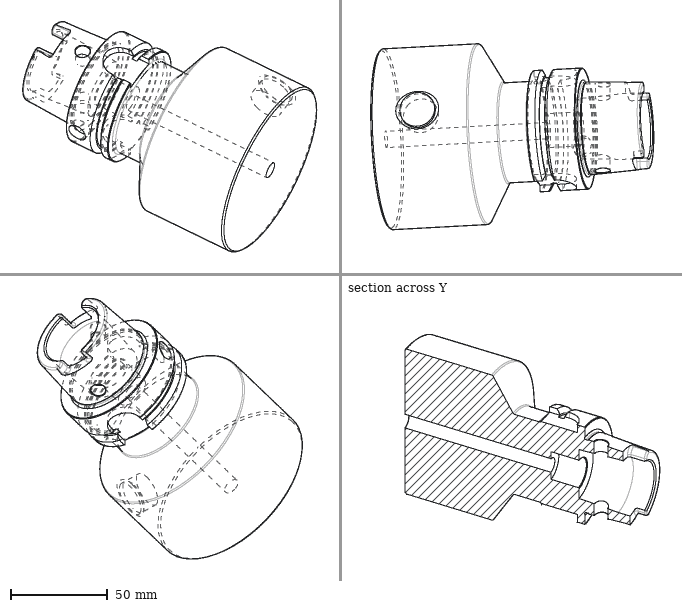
import cadquery as cq
import math


shank_end_radius = 22.6
shank_base_radius = 24.1
shank_end_fillet = 1.0
shank_length = 30.0
relief_radius = 23.7
relief_runout = 0.5

flange_start = 32.0
flange_end = 57.6
flange_radius = 31.5
flange_undercut_radius = 25.2
flange_undercut_depth = 0.4
flange_edge = 0.4
gripper_center = 50.0
gripper_floor_width = 2.9
gripper_radius = 27.5
gripper_flank_angle = 30
gripper_wall_height = 1.0

neck_root_fillet = 1.2
neck_radius = 26.0
neck_end = 73.8
head_radius = 47.0
head_cone_angle = 60
head_fillet = 1.0
head_edge_chamfer = 1.0
overall_length = 136.9

mouth_radius = 17.0
mouth_chamfer = 0.8
mouth_depth = 12.9
bore_floor_radius = 15.6
bore_floor = 35.6
thread_radius = 8.8
thread_chamfer = 0.4
thread_depth = 16.4
through_radius = 4.2

slot_width = 12.5
slot_lip_radius = 3.0
slot_lip_height = 20.5
slot_corner_radius = 1.4
upper_slot_depth = 10.1
lower_slot_depth = 6.0

keyway_width = 18.1
keyway_start = 36.8
keyway_floor = 26.5

cross_hole_radius = 3.8
cross_hole_x = 23.0
cross_hole_chamfer = 0.3
chip_hole_radius = 5.0
chip_hole_x = 38.9
chip_hole_depth = 4.5

plug_radius = 9.2
plug_x = 112.3
plug_top = 47.03
plug_depth = 11.0
plug_rim_radius = 11.4


def circle_at(x):
    """Selector for the full circles about the X axis at one X."""
    reach = 0.07
    return cq.selectors.BoxSelector((x - reach, -reach, -reach), (x + reach, reach, reach))


def outer_body():
    wall_top = gripper_radius + gripper_wall_height
    flank = (flange_radius - wall_top) * math.tan(math.radians(gripper_flank_angle))
    floor_start = gripper_center - gripper_floor_width / 2
    floor_end = gripper_center + gripper_floor_width / 2
    head_start = neck_end + (head_radius - neck_radius) / math.tan(math.radians(head_cone_angle))
    undercut_start = flange_start - flange_undercut_depth
    undercut_deepest = (flange_start + flange_undercut_depth, (relief_radius + flange_undercut_radius) / 2)
    body = (
        cq.Workplane("XY")
        .moveTo(0, 0)
        .lineTo(0, shank_end_radius)
        .lineTo(shank_length, shank_base_radius)
        .lineTo(shank_length + relief_runout, relief_radius)
        .lineTo(undercut_start, relief_radius)
        .threePointArc(undercut_deepest, (flange_start, flange_undercut_radius))
        .lineTo(flange_start, flange_radius - flange_edge)
        .lineTo(flange_start + flange_edge, flange_radius)
        .lineTo(floor_start - flank, flange_radius)
        .lineTo(floor_start, wall_top)
        .lineTo(floor_start, gripper_radius)
        .lineTo(floor_end, gripper_radius)
        .lineTo(floor_end, wall_top)
        .lineTo(floor_end + flank, flange_radius)
        .lineTo(flange_end - flange_edge, flange_radius)
        .lineTo(flange_end, flange_radius - flange_edge)
        .lineTo(flange_end, neck_radius)
        .lineTo(neck_end, neck_radius)
        .lineTo(head_start, head_radius)
        .lineTo(overall_length - head_edge_chamfer, head_radius)
        .lineTo(overall_length, head_radius - head_edge_chamfer)
        .lineTo(overall_length, 0)
        .close()
        .revolve(360, (0, 0, 0), (1, 0, 0))
    )
    body = body.edges(circle_at(neck_end)).fillet(head_fillet)
    body = body.edges(circle_at(head_start)).fillet(head_fillet)
    neck_root = cq.selectors.RadiusNthSelector(0)
    return body.edges(circle_at(flange_end)).edges(neck_root).fillet(neck_root_fillet)


def axial_bore():
    outline = [
        (0, 0),
        (0, mouth_radius + mouth_chamfer),
        (mouth_chamfer, mouth_radius),
        (mouth_depth, mouth_radius),
        (bore_floor, bore_floor_radius),
        (bore_floor, thread_radius + thread_chamfer),
        (bore_floor + thread_chamfer, thread_radius),
        (bore_floor + thread_depth, thread_radius),
        (bore_floor + thread_depth, through_radius),
        (overall_length, through_radius),
        (overall_length, 0),
    ]
    return cq.Workplane("XY").polyline(outline).close().revolve(360, (0, 0, 0), (1, 0, 0))


def drive_slot(depth):
    """Cutter for a slot on the +Z side whose walls round outward into a flat lip."""
    wall = slot_width / 2
    lip_start = wall + slot_lip_radius
    arc_start_z = slot_lip_height - slot_lip_radius
    lip_mid_y = lip_start - slot_lip_radius * math.cos(math.pi / 4)
    lip_mid_z = arc_start_z + slot_lip_radius * math.sin(math.pi / 4)
    cutter = (
        cq.Workplane("YZ")
        .moveTo(-wall, 0)
        .lineTo(-wall, arc_start_z)
        .threePointArc((-lip_mid_y, lip_mid_z), (-lip_start, slot_lip_height))
        .lineTo(-flange_radius, slot_lip_height)
        .lineTo(-flange_radius, flange_radius)
        .lineTo(flange_radius, flange_radius)
        .lineTo(flange_radius, slot_lip_height)
        .lineTo(lip_start, slot_lip_height)
        .threePointArc((lip_mid_y, lip_mid_z), (wall, arc_start_z))
        .lineTo(wall, 0)
        .close()
        .extrude(depth)
    )
    return cutter.faces(">X").edges("(not <Z) and (not >Z) and (not <Y) and (not >Y)").fillet(slot_corner_radius)


def keyway():
    """Cutter for a flat-floored keyway on the +Z side, rounded at its shank end."""
    radius = keyway_width / 2
    return (
        cq.Workplane("XY", origin=(0, 0, keyway_floor))
        .moveTo(flange_end, -radius)
        .lineTo(keyway_start + radius, -radius)
        .threePointArc((keyway_start, 0), (keyway_start + radius, radius))
        .lineTo(flange_end, radius)
        .close()
        .extrude(flange_radius - keyway_floor)
    )


def cross_hole():
    return (
        cq.Workplane("XY")
        .center(cross_hole_x, 0)
        .circle(cross_hole_radius)
        .extrude(shank_base_radius, both=True)
    )


def chamfer_cross_hole(housing):
    """Break the two outer edges of the cross hole."""
    reach = cross_hole_radius
    for side in (1, -1):
        corner = (cross_hole_x - reach, -reach, side * shank_end_radius)
        opposite = (cross_hole_x + reach, reach, side * shank_base_radius)
        edge = cq.selectors.BoxSelector(corner, opposite)
        housing = housing.edges(edge).edges("not %LINE").chamfer(cross_hole_chamfer)
    return housing


def chip_hole():
    return (
        cq.Workplane("XZ", origin=(chip_hole_x, chip_hole_depth - flange_radius, 0))
        .circle(chip_hole_radius)
        .extrude(chip_hole_depth)
    )


def plug_cylinder():
    return (
        cq.Workplane("XZ", origin=(plug_x, plug_top, 0))
        .circle(plug_radius)
        .extrude(plug_depth)
    )


def plug_rim():
    """Cone that chamfers the mouth of the plug recess."""
    rim = plug_rim_radius - plug_radius
    return (
        cq.Workplane("XZ", origin=(plug_x, plug_top, 0))
        .circle(plug_rim_radius)
        .workplane(offset=rim)
        .circle(plug_radius)
        .loft()
    )


def turned_over(cutter):
    """The same cutter on the -Z side."""
    return cutter.rotate((0, 0, 0), (1, 0, 0), 180)


def make_housing():
    housing = outer_body()
    housing = housing.cut(drive_slot(upper_slot_depth)).cut(turned_over(drive_slot(lower_slot_depth)))
    housing = housing.faces("<X").edges().fillet(shank_end_fillet)
    housing = housing.cut(axial_bore())
    housing = housing.cut(keyway()).cut(turned_over(keyway()))
    housing = chamfer_cross_hole(housing.cut(cross_hole()))
    housing = housing.cut(chip_hole())
    return housing.cut(plug_cylinder()).cut(plug_rim())


housing = make_housing()
plug = plug_cylinder()

result = cq.Compound.makeCompound([housing.val(), plug.val()])